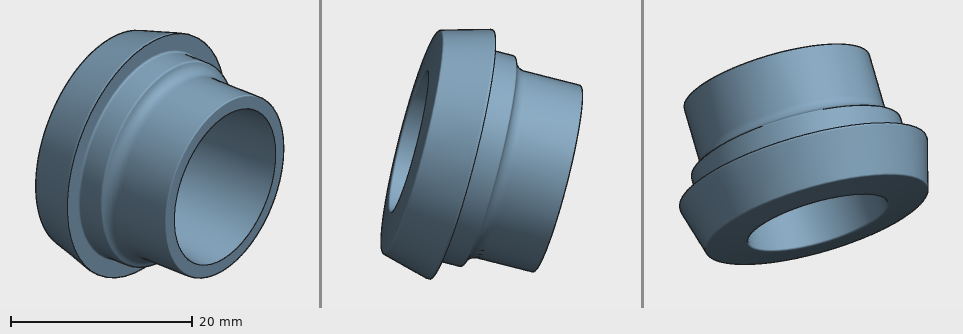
import cadquery as cq
import math

collar_back = 6.02
shoulder_back = 9.08
total_length = 17.0

collar_radius = 14.2
shoulder_radius = 12.0
spigot_radius = 10.65

land_radius = 8.5
face_angle = 5.0
taper_angle = 15.0
rim_width = 0.25

bore_radius = 8.0
rear_bore_radius = 9.08

step_radius = 1.53

face_round = 0.25
shoulder_round = 0.25
bore_entry_round = 0.2
end_round = 0.15


def slope(angle):
    """Rise per unit run of a line at an angle in degrees."""
    return math.tan(math.radians(angle))


rim_start = collar_back - rim_width
taper_front_radius = collar_radius - rim_start * slope(taper_angle)
corner_x = (
    (taper_front_radius - land_radius) * slope(face_angle)
    / (1 - slope(taper_angle) * slope(face_angle))
)
corner_radius = taper_front_radius + corner_x * slope(taper_angle)

step_center_radius = spigot_radius + step_radius


def step_half_width(radius):
    """Axial distance from the arc centre to the arc at a given part radius."""
    return math.sqrt(step_radius**2 - (step_center_radius - radius) ** 2)


step_end = shoulder_back + step_half_width(shoulder_radius)
step_mid_radius = (shoulder_radius + spigot_radius) / 2
step_mid = (step_end - step_half_width(step_mid_radius), step_mid_radius)


def half_profile():
    """Closed half section, X along the axis and Y as the radius."""
    return (
        cq.Workplane("XY")
        .moveTo(0, bore_radius)
        .lineTo(0, land_radius)
        .lineTo(corner_x, corner_radius)
        .lineTo(rim_start, collar_radius)
        .lineTo(collar_back, collar_radius)
        .lineTo(collar_back, shoulder_radius)
        .lineTo(shoulder_back, shoulder_radius)
        .threePointArc(step_mid, (step_end, spigot_radius))
        .lineTo(total_length, spigot_radius)
        .lineTo(total_length, rear_bore_radius)
        .lineTo(collar_back, bore_radius)
        .close()
    )


def round_edge(body, x, radius, round_radius):
    """Fillet the circular edge found at an axial position and part radius."""
    tolerance = 0.003

    def is_wanted(edge):
        return (
            edge.geomType() == "CIRCLE"
            and abs(edge.arcCenter().x - x) < tolerance
            and abs(edge.radius() - radius) < tolerance
        )

    return body.edges().filter(is_wanted).fillet(round_radius)


result = half_profile().revolve(360, (0, 0, 0), (1, 0, 0))
result = round_edge(result, 0, bore_radius, bore_entry_round)
result = round_edge(result, corner_x, corner_radius, face_round)
result = round_edge(result, collar_back, shoulder_radius, shoulder_round)
result = round_edge(result, shoulder_back, shoulder_radius, shoulder_round)
result = round_edge(result, total_length, spigot_radius, end_round)